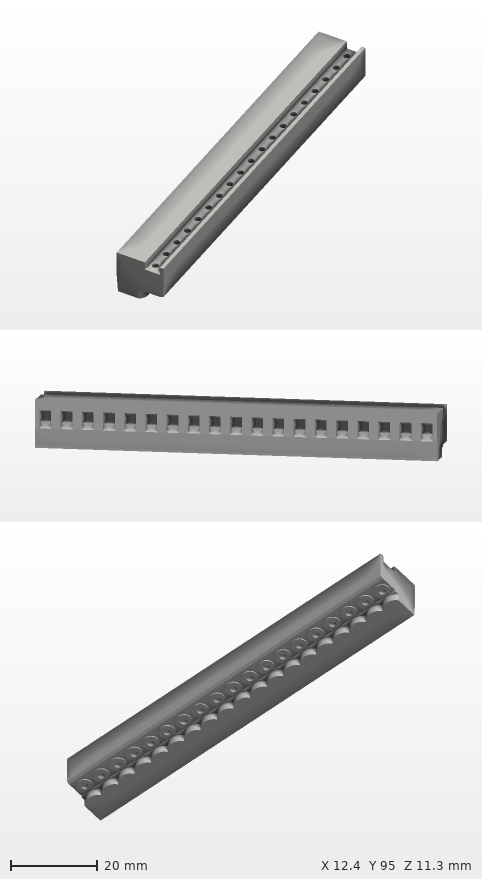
import cadquery as cq
import math

length = 95.0
width = 12.4
height = 11.3

pole_count = 19
pitch = length / pole_count
pole_ys = [(i - (pole_count - 1) / 2) * pitch for i in range(pole_count)]

lean_top = 4.7
lean_bottom = 0.6
lean_inset = 0.3
foot_width = 7.2
shelf_height = 2.7
shelf_chamfer_width = 0.8
shelf_chamfer_height = 0.3
groove_left = 7.5
groove_right = 11.5
groove_depth = 2.1

scallop_height = 2.2
scallop_depth = 1.2
scallop_radius = ((pitch / 2) ** 2 + scallop_depth ** 2) / (2 * scallop_depth)

pin_x = 8.9
pin_diameter = 1.6
boss_radius = 2.0
boss_height = 0.3

entry_width = 2.8
entry_depth = 5.7
entry_mouth_top = 8.9
entry_bevel_depth = 0.17
entry_throat_top = 8.6
entry_sill = 6.1
sill_x = 1.3
ramp_angle = 25.0
riser_angle = 76.0
ramp_fillet = 0.8


def make_body():
    floor_of_groove = height - groove_depth
    outline = [
        (lean_inset, 0),
        (foot_width, 0),
        (foot_width, shelf_height),
        (width - shelf_chamfer_width, shelf_height),
        (width, shelf_height + shelf_chamfer_height),
        (width, height),
        (groove_right, height),
        (groove_right, floor_of_groove),
        (groove_left, floor_of_groove),
        (groove_left, height),
        (0, height),
        (0, lean_top),
        (lean_inset, lean_bottom),
    ]
    return cq.Workplane("XZ").polyline(outline).close().extrude(length / 2, both=True)


def make_scallop_cut():
    """Strip along the foot's +X flank, less one round bulge per pole."""
    strip = cq.Workplane("XY").box(
        scallop_depth, length, scallop_height, centered=(False, True, False)
    ).translate((foot_width - scallop_depth, 0, 0))
    bulges = (
        cq.Workplane("XY")
        .pushPoints([(foot_width - scallop_radius, y) for y in pole_ys])
        .circle(scallop_radius)
        .extrude(scallop_height)
    )
    return strip.cut(bulges)


def make_bosses():
    """Bosses hanging below the shelf, sunk into it by their own height to join the body."""
    return (
        cq.Workplane("XY", origin=(0, 0, shelf_height - boss_height))
        .pushPoints([(pin_x, y) for y in pole_ys])
        .circle(boss_radius)
        .extrude(2 * boss_height)
    )


def make_pin_holes():
    return (
        cq.Workplane("XY")
        .pushPoints([(pin_x, y) for y in pole_ys])
        .circle(pin_diameter / 2)
        .extrude(height)
    )


def make_entry():
    """One wire entry centred on Y = 0: a ramped mouth, a riser and a square throat."""
    ramp_slope = math.tan(math.radians(ramp_angle))
    riser_slope = math.tan(math.radians(riser_angle))
    corner_x = (entry_sill - lean_top - riser_slope * sill_x) / (ramp_slope - riser_slope)
    corner_z = lean_top + ramp_slope * corner_x
    outline = [
        (0, lean_top),
        (corner_x, corner_z),
        (sill_x, entry_sill),
        (entry_depth, entry_sill),
        (entry_depth, entry_throat_top),
        (entry_bevel_depth, entry_throat_top),
        (0, entry_mouth_top),
    ]
    entry = cq.Workplane("XZ").polyline(outline).close().extrude(entry_width / 2, both=True)
    ramp_corner = cq.selectors.NearestToPointSelector((corner_x, 0, corner_z))
    return entry.edges("|Y").edges(ramp_corner).fillet(ramp_fillet)


result = make_body().cut(make_scallop_cut()).union(make_bosses()).cut(make_pin_holes())

entry = make_entry()
for pole_y in pole_ys:
    result = result.cut(entry.translate((0, pole_y, 0)))